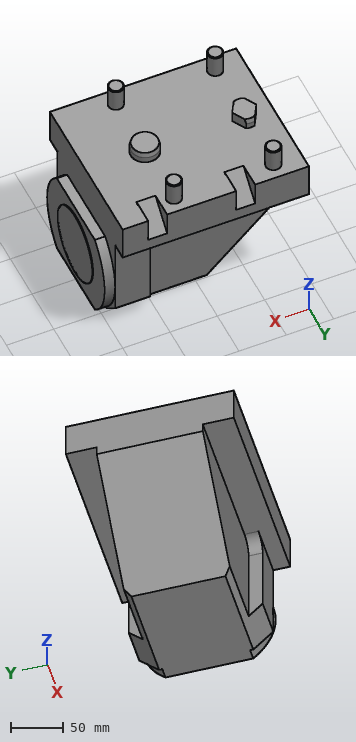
import cadquery as cq
import math


PLATE_LENGTH = 197.0
PLATE_WIDTH = 168.0
PLATE_THICKNESS = 40.0

BODY_WIDTH = 134.0
BODY_BOTTOM = -150.0
BOTTOM_CHAMFER = 20.0
NOSE_BOTTOM = -50.0

CORE_WIDTH = 106.0
RECESS_LENGTH = 160.0
RECESS_RADIUS = 15.0

FLANGE_DIAMETER = 133.0
FLANGE_HEIGHT = 100.0
FLANGE_THICKNESS = 11.0
FLANGE_CENTER_Z = -100.0
DISC_DIAMETER = 80.0
DISC_THICKNESS = 1.0

PIN_ROW_X = (30.0, 135.0)
STUD_SPACING_Y = 134.0
STUD_DIAMETER = 16.0
STUD_HEIGHT = 26.0
STUD_CHAMFER = 1.0
LOCATOR_DIAMETER = 30.0
LOCATOR_HEIGHT = 12.0
LEAD_HEIGHT = 5.0
LEAD_ANGLE = 15.0
DIAMOND_WIDTH = 25.5
DIAMOND_SIDE_ANGLE = 60.0

NOTCH_CENTERS_X = (67.0, 160.0)
NOTCH_WIDTH = 20.0
NOTCH_LENGTH = 27.0

OVERLAP = 2.0


def make_plate():
    return cq.Workplane("XY").box(
        PLATE_LENGTH, PLATE_WIDTH, PLATE_THICKNESS, centered=(False, True, False)
    ).translate((0, 0, -PLATE_THICKNESS))


def make_body():
    slope_run = NOSE_BOTTOM - BODY_BOTTOM
    side_profile = [
        (0, -PLATE_THICKNESS + OVERLAP),
        (0, NOSE_BOTTOM),
        (slope_run, BODY_BOTTOM),
        (PLATE_LENGTH, BODY_BOTTOM),
        (PLATE_LENGTH, -PLATE_THICKNESS + OVERLAP),
    ]
    body = cq.Workplane("XZ").polyline(side_profile).close().extrude(BODY_WIDTH / 2, both=True)
    half_width = BODY_WIDTH / 2
    for side in (-1, 1):
        corner = [
            (side * half_width, BODY_BOTTOM),
            (side * half_width, BODY_BOTTOM + BOTTOM_CHAMFER),
            (side * (half_width - BOTTOM_CHAMFER), BODY_BOTTOM),
        ]
        body = body.cut(cq.Workplane("YZ").polyline(corner).close().extrude(PLATE_LENGTH))
    return body


def cut_flank_recesses(body):
    height = -PLATE_THICKNESS - BODY_BOTTOM
    depth = (BODY_WIDTH - CORE_WIDTH) / 2
    recess = (
        cq.Workplane("XY")
        .box(RECESS_LENGTH, depth, height, centered=(False, True, False))
        .edges("|Y and >X and >Z")
        .fillet(RECESS_RADIUS)
    )
    for side in (-1, 1):
        body = body.cut(recess.translate((0, side * (CORE_WIDTH + depth) / 2, BODY_BOTTOM)))
    return body


def make_flange():
    face = cq.Workplane("YZ", origin=(PLATE_LENGTH - OVERLAP, 0, FLANGE_CENTER_Z))
    round_flange = face.circle(FLANGE_DIAMETER / 2).extrude(FLANGE_THICKNESS + OVERLAP)
    flats = face.rect(FLANGE_DIAMETER, FLANGE_HEIGHT).extrude(FLANGE_THICKNESS + OVERLAP)
    disc = face.circle(DISC_DIAMETER / 2).extrude(FLANGE_THICKNESS + DISC_THICKNESS + OVERLAP)
    return round_flange.intersect(flats).union(disc)


def make_stud(x, y):
    stud = cq.Workplane("XY").circle(STUD_DIAMETER / 2).extrude(STUD_HEIGHT)
    return stud.faces(">Z").chamfer(STUD_CHAMFER).translate((x, y, 0))


def make_round_locator():
    radius = LOCATOR_DIAMETER / 2
    top_radius = radius - LEAD_HEIGHT * math.tan(math.radians(LEAD_ANGLE))
    half_profile = [
        (0, 0),
        (radius, 0),
        (radius, LOCATOR_HEIGHT - LEAD_HEIGHT),
        (top_radius, LOCATOR_HEIGHT),
        (0, LOCATOR_HEIGHT),
    ]
    return cq.Workplane("XZ").polyline(half_profile).close().revolve(360, (0, 0), (0, 1))


def make_diamond_locator():
    half_width = DIAMOND_WIDTH / 2
    half_height = half_width * math.tan(math.radians(DIAMOND_SIDE_ANGLE))
    rhombus = [(half_width, 0), (0, half_height), (-half_width, 0), (0, -half_height)]
    prism = cq.Workplane("XY").polyline(rhombus).close().extrude(LOCATOR_HEIGHT)
    return make_round_locator().intersect(prism)


def make_notch(x):
    rear = PLATE_WIDTH / 2
    ramp = [(rear - NOTCH_LENGTH, 0), (rear, 0), (rear, -NOTCH_LENGTH)]
    wedge = cq.Workplane("YZ").polyline(ramp).close().extrude(NOTCH_WIDTH / 2, both=True)
    return wedge.translate((x, 0, 0))


result = make_plate().union(cut_flank_recesses(make_body())).union(make_flange())
for notch_x in NOTCH_CENTERS_X:
    result = result.cut(make_notch(notch_x))
for stud_x in PIN_ROW_X:
    for side in (-1, 1):
        result = result.union(make_stud(stud_x, side * STUD_SPACING_Y / 2))
result = result.union(make_diamond_locator().translate((PIN_ROW_X[0], 0, 0)))
result = result.union(make_round_locator().translate((PIN_ROW_X[1], 0, 0)))